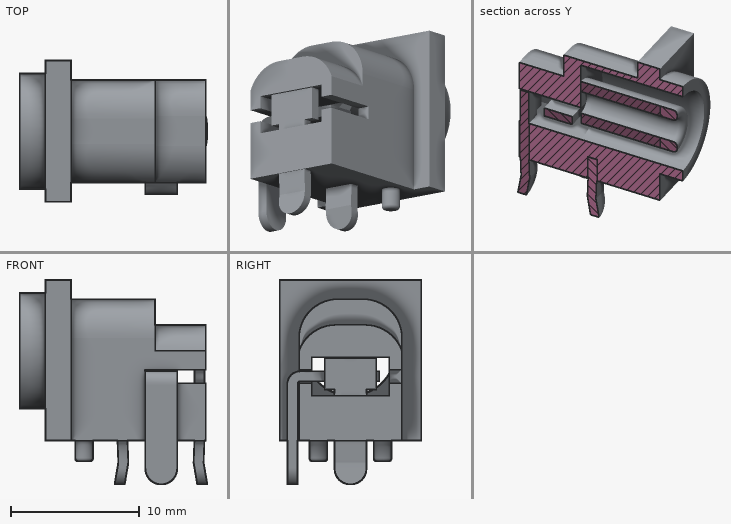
import cadquery as cq
import math


ring_length = 2.0
ring_diameter = 9.0
socket_diameter = 7.0
socket_depth = 9.0
socket_axis_z = 7.0
flange_thickness = 2.0
flange_width = 11.0
flange_height = 12.5
body_width = 8.0
body_height = 11.0
body_step_x = 10.53
body_rear_x = 14.47
rear_height = 9.0
crown_radius = 3.0
flange_rear_x = ring_length + flange_thickness

side_slot_x = 9.76
side_slot_bottom = 4.47
side_slot_top = 5.5
window_width = 6.0
window_top = 6.47
window_bottom = socket_axis_z - socket_diameter / 2

peg_diameter = 1.4
peg_length = 1.6
peg_edge_radius = 0.25
peg_x = 5.01
peg_spacing = 5.0

pin_diameter = 4.0
pin_bore_diameter = 2.0
pin_front_x = 0.5
pin_edge_radius = 0.4
pin_joint_x = ring_length

terminal_thickness = 0.8
terminal_width = 2.5
terminal_drop = 3.4

mid_terminal_x = 7.6
mid_terminal_top = 2.0
rear_terminal_x = 13.58
rear_terminal_top = 6.42
rear_plate_width = pin_diameter
rear_plate_bottom = 3.98
knee_drop = 1.7
knee_offset = 0.06
tip_offset = 0.22

side_terminal_top = 5.4
side_terminal_end_y = 2.24
side_terminal_outer_y = -4.91
side_bend_radius = 1.02


def block(x_start, x_end, width, z_start, z_end):
    """Box centred on Y = 0, given by its X and Z limits."""
    corner = (x_start, -width / 2, z_start)
    return cq.Workplane("XY", origin=corner).box(x_end - x_start, width, z_end - z_start, centered=False)


def socket_cylinder(diameter, x_start, x_end):
    """Cylinder on the socket axis."""
    plane = cq.Workplane("YZ", origin=(x_start, 0, socket_axis_z))
    return plane.circle(diameter / 2).extrude(x_end - x_start)


def crowned_block(x_start, x_end, shoulder_z, top_z):
    """Body section with upright sides up to shoulder_z, then arcs that run tangent into the flat top."""
    half_width = body_width / 2
    arc_centre_z = top_z - crown_radius
    arc_run = math.sqrt(crown_radius**2 - (shoulder_z - arc_centre_z) ** 2)
    flat_half_width = half_width - arc_run
    return (
        cq.Workplane("YZ", origin=(x_start, 0, 0))
        .moveTo(-half_width, 0)
        .lineTo(half_width, 0)
        .lineTo(half_width, shoulder_z)
        .radiusArc((flat_half_width, top_z), -crown_radius)
        .lineTo(-flat_half_width, top_z)
        .radiusArc((-half_width, shoulder_z), -crown_radius)
        .close()
        .extrude(x_end - x_start)
    )


def make_pegs():
    """Two round pegs with rounded lower edges."""
    return (
        cq.Workplane("XY", origin=(peg_x, 0, 0))
        .rarray(0.16, peg_spacing, 1, 2)
        .circle(peg_diameter / 2)
        .extrude(-peg_length)
        .faces("<Z")
        .edges()
        .fillet(peg_edge_radius)
    )


def leg_hole(terminal_x, top_z):
    """Hole through the housing floor that fits a terminal leg."""
    return block(terminal_x, terminal_x + terminal_thickness, terminal_width, 0, top_z)


def make_housing():
    """Ring, flange, stepped body and pegs, hollowed by the socket and its rear openings."""
    ring = socket_cylinder(ring_diameter, 0, ring_length)
    flange = block(ring_length, flange_rear_x, flange_width, 0, flange_height)
    front_body = crowned_block(flange_rear_x, body_step_x, body_height - crown_radius, body_height)
    rear_body = crowned_block(body_step_x, body_rear_x, socket_axis_z, rear_height)
    housing = ring.union(flange).union(front_body).union(rear_body).union(make_pegs())

    socket = socket_cylinder(socket_diameter, 0, socket_depth)
    rear_window = block(socket_depth, body_rear_x, window_width, window_bottom, window_top)
    side_slot = block(side_slot_x, body_rear_x, body_width, side_slot_bottom, side_slot_top)
    housing = housing.cut(socket).cut(rear_window).cut(side_slot)

    housing = housing.cut(leg_hole(mid_terminal_x, mid_terminal_top))
    return housing.cut(leg_hole(rear_terminal_x, window_bottom))


def pin_tube(x_start, x_end):
    """Length of the hollow centre pin."""
    return socket_cylinder(pin_diameter, x_start, x_end).cut(
        socket_cylinder(pin_bore_diameter, x_start, x_end)
    )


def make_pin_tip():
    """Front of the pin, with its mouth rounded inside and outside."""
    return pin_tube(pin_front_x, pin_joint_x).faces("<X").edges().fillet(pin_edge_radius)


def make_pin_barrel():
    """Rear of the pin, ending on the back wall of the socket."""
    return pin_tube(pin_joint_x, socket_depth)


def round_leg_end(terminal, plane, centre, top_z):
    """Trim a terminal to a strip of terminal_width, with a half-round lower end in the given plane."""
    end_radius = terminal_width / 2
    arc_start_z = end_radius - terminal_drop
    strip = (
        cq.Workplane(plane)
        .moveTo(centre - end_radius, top_z)
        .lineTo(centre - end_radius, arc_start_z)
        .threePointArc((centre, -terminal_drop), (centre + end_radius, arc_start_z))
        .lineTo(centre + end_radius, top_z)
        .close()
        .extrude(body_rear_x + terminal_width, both=True)
    )
    return terminal.intersect(strip)


def make_kinked_leg(terminal_x, top_z, lean):
    """Leg that kinks below the housing and then leans forward (lean = -1) or backward (lean = 1)."""
    front_edge = [
        (terminal_x, top_z),
        (terminal_x, 0),
        (terminal_x - lean * knee_offset, -knee_drop),
        (terminal_x + lean * tip_offset, -terminal_drop),
    ]
    back_edge = [(x + terminal_thickness, z) for x, z in reversed(front_edge)]
    leg = cq.Workplane("XZ").polyline(front_edge + back_edge).close().extrude(terminal_width / 2, both=True)
    return round_leg_end(leg, "YZ", 0, top_z)


def make_rear_terminal():
    """Backward-leaning leg with a wider plate above it."""
    leg = make_kinked_leg(rear_terminal_x, rear_plate_bottom, 1)
    plate_rear_x = rear_terminal_x + terminal_thickness
    plate = block(rear_terminal_x, plate_rear_x, rear_plate_width, rear_plate_bottom, rear_terminal_top)
    return leg.union(plate)


def make_side_terminal():
    """Strip that crosses the housing in the side slot and bends down outside it."""
    inner_y = side_terminal_outer_y + terminal_thickness
    bend_y = side_terminal_outer_y + side_bend_radius
    bend_z = side_terminal_top - side_bend_radius
    underside_z = side_terminal_top - terminal_thickness
    strip = (
        cq.Workplane("YZ", origin=(side_slot_x, 0, 0))
        .moveTo(side_terminal_end_y, side_terminal_top)
        .lineTo(bend_y, side_terminal_top)
        .radiusArc((side_terminal_outer_y, bend_z), -side_bend_radius)
        .lineTo(side_terminal_outer_y, -terminal_drop)
        .lineTo(inner_y, -terminal_drop)
        .lineTo(inner_y, bend_z)
        .radiusArc((bend_y, underside_z), side_bend_radius - terminal_thickness)
        .lineTo(side_terminal_end_y, underside_z)
        .close()
        .extrude(terminal_width)
    )
    return round_leg_end(strip, "XZ", side_slot_x + terminal_width / 2, side_terminal_top)


housing = make_housing()
pin_tip = make_pin_tip()
pin_barrel = make_pin_barrel()
mid_terminal = make_kinked_leg(mid_terminal_x, mid_terminal_top, -1)
rear_terminal = make_rear_terminal()
side_terminal = make_side_terminal()

result = cq.Compound.makeCompound(
    [
        housing.solids().val(),
        pin_tip.solids().val(),
        pin_barrel.solids().val(),
        mid_terminal.solids().val(),
        rear_terminal.solids().val(),
        side_terminal.solids().val(),
    ]
)